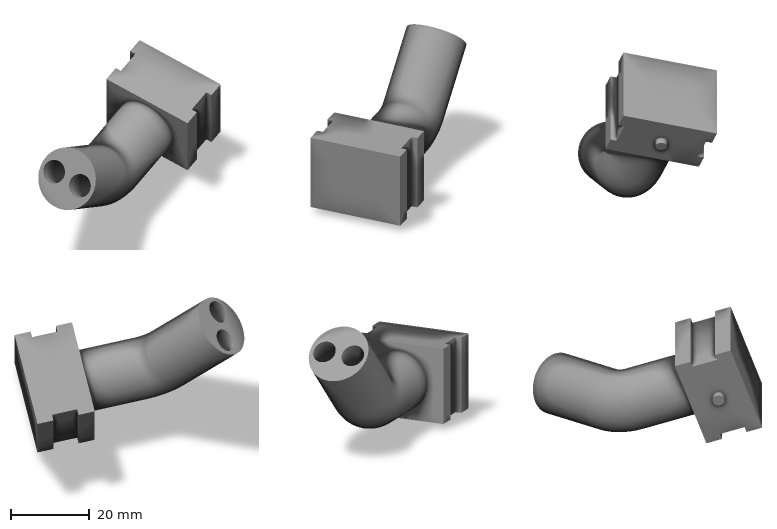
import cadquery as cq
import math

block_width = 25.0
block_depth = 15.0
block_height = 20.0

groove_width = 6.6
groove_depth = 1.6

pin_diameter = 3.0
pin_length = 1.65

arm_diameter = 16.0
straight_length = 15.0
bend_radius = 9.95
bend_angle = 45.0
inclined_length = 20.0

bore_diameter = 6.0
bore_spacing = 7.95
bore_depth = inclined_length

bend_rad = math.radians(bend_angle)
axis_y = -math.cos(bend_rad)
axis_z = math.sin(bend_rad)
bend_end_y = -straight_length - bend_radius * math.sin(bend_rad)
bend_end_z = bend_radius * (1 - math.cos(bend_rad))
tip_y = bend_end_y + inclined_length * axis_y
tip_z = bend_end_z + inclined_length * axis_z


def make_block():
    block_centre_y = block_depth / 2
    block = cq.Workplane("XY").box(block_width, block_depth, block_height)
    for side in (-1, 1):
        groove = cq.Workplane("XY").box(2 * groove_depth, groove_width, block_height)
        block = block.cut(groove.translate((side * block_width / 2, 0, 0)))
    pin = (
        cq.Workplane("XY", origin=(0, 0, -block_height / 2))
        .circle(pin_diameter / 2)
        .extrude(-pin_length)
    )
    return block.union(pin).translate((0, block_centre_y, 0))


def make_arm():
    straight = cq.Workplane("XZ").circle(arm_diameter / 2).extrude(straight_length)
    bend = (
        cq.Workplane("XZ", origin=(0, -straight_length, 0))
        .circle(arm_diameter / 2)
        .revolve(bend_angle, (0, bend_radius), (-1, bend_radius))
    )
    bend_end = cq.Plane(origin=(0, bend_end_y, bend_end_z), xDir=(1, 0, 0), normal=(0, axis_y, axis_z))
    inclined = cq.Workplane(bend_end).circle(arm_diameter / 2).extrude(inclined_length)
    return straight.union(bend).union(inclined)


def make_bores():
    end_face = cq.Plane(origin=(0, tip_y, tip_z), xDir=(1, 0, 0), normal=(0, axis_y, axis_z))
    return (
        cq.Workplane(end_face)
        .pushPoints([(-bore_spacing / 2, 0), (bore_spacing / 2, 0)])
        .circle(bore_diameter / 2)
        .extrude(-bore_depth)
    )


result = make_block().union(make_arm()).cut(make_bores())